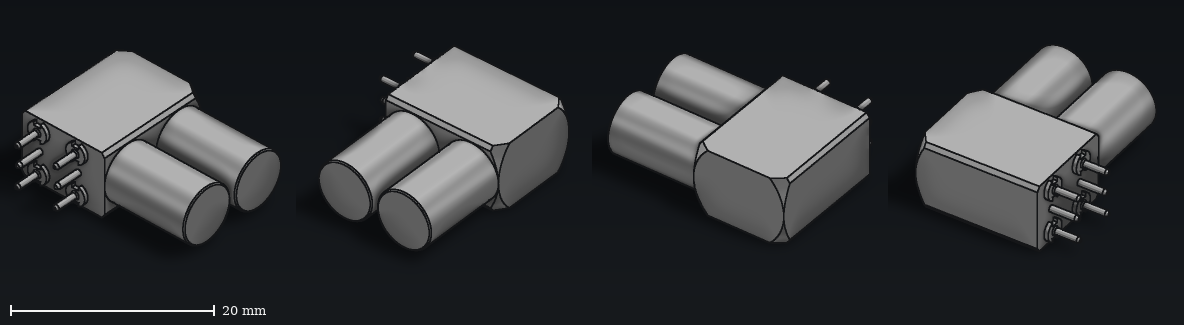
import cadquery as cq
import math

total_length = 21.55
body_length = 11.0
body_width = 14.3
body_height = 8.0

edge_chamfer_x = 0.37
edge_chamfer_z = 0.52
end_cone_radius = body_length / 2
end_cone_depth = 2.15

barrel_diameter = 6.8
barrel_pitch = body_width - barrel_diameter
barrel_chamfer = 0.15

pin_pitch = 5.09
first_pin_x = 2.44
pin_diameter = 0.73
signal_tip_length = 0.28
ground_tip_length = 0.37
signal_tip_diameter = 0.35
ground_tip_diameter = 0.45
signal_pin_length = 3.5
ground_pin_length = 3.32

insulator_diameter = 2.5
insulator_thickness = 0.47
slot_width = 0.86
slot_floor_radius = 0.75
collar_diameter = 1.0
collar_height = 0.17

pin_columns = [first_pin_x, first_pin_x + pin_pitch]
signal_rows = [-pin_pitch / 2, pin_pitch / 2]


def make_body():
    """Block with bevelled long edges and a 45 degree conical chamfer on its +Y end."""
    half_height = body_height / 2
    inner_x = body_length - edge_chamfer_x
    inner_z = half_height - edge_chamfer_z
    block = (
        cq.Workplane("XZ")
        .moveTo(edge_chamfer_x, -half_height)
        .lineTo(inner_x, -half_height)
        .lineTo(body_length, -inner_z)
        .lineTo(body_length, inner_z)
        .lineTo(inner_x, half_height)
        .lineTo(edge_chamfer_x, half_height)
        .lineTo(0, inner_z)
        .lineTo(0, -inner_z)
        .close()
        .extrude(-body_width)
    )
    corner_reach = math.hypot(body_length, body_height)
    cone_base_radius = end_cone_radius + end_cone_depth
    envelope = (
        cq.Workplane("XY")
        .lineTo(corner_reach, 0)
        .lineTo(corner_reach, body_width - end_cone_depth)
        .lineTo(cone_base_radius, body_width - end_cone_depth)
        .lineTo(end_cone_radius, body_width)
        .lineTo(0, body_width)
        .close()
        .revolve(360, (0, 0, 0), (0, 1, 0))
        .translate((body_length / 2, 0, 0))
    )
    return block.intersect(envelope)


def make_barrel(y):
    return (
        cq.Workplane("YZ", origin=(body_length, y, 0))
        .circle(barrel_diameter / 2)
        .extrude(total_length - body_length)
        .faces(">X")
        .chamfer(barrel_chamfer)
    )


def revolve_about_pin(half_profile, x, z):
    """Solid of revolution along Y at (x, z) from a list of (radius, y) points."""
    profile = cq.Workplane("XY").polyline(half_profile).close()
    return profile.revolve(360, (0, 0, 0), (0, 1, 0)).translate((x, 0, z))


def make_pin(x, z, length, tip_diameter, tip_length):
    """Round pin pointing along -Y and ending in a truncated cone."""
    half_profile = [
        (0, 0),
        (pin_diameter / 2, 0),
        (pin_diameter / 2, tip_length - length),
        (tip_diameter / 2, -length),
        (0, -length),
    ]
    return revolve_about_pin(half_profile, x, z)


def make_insulator(x, z):
    """Disc with a slot above and below the pin."""
    slot_depth = insulator_diameter / 2 - slot_floor_radius
    slot_offset = slot_floor_radius + slot_depth / 2
    disc = cq.Workplane("XZ").center(x, z).circle(insulator_diameter / 2).extrude(insulator_thickness)
    slots = (
        cq.Workplane("XZ")
        .center(x, z)
        .pushPoints([(0, -slot_offset), (0, slot_offset)])
        .rect(slot_width, slot_depth)
        .extrude(insulator_thickness)
    )
    return disc.cut(slots)


def make_collar(x, z):
    """Cone tapering from the insulator face down to the pin."""
    half_profile = [
        (0, -insulator_thickness),
        (collar_diameter / 2, -insulator_thickness),
        (pin_diameter / 2, -insulator_thickness - collar_height),
        (0, -insulator_thickness - collar_height),
    ]
    return revolve_about_pin(half_profile, x, z)


result = make_body()

for barrel_y in (barrel_diameter / 2, barrel_diameter / 2 + barrel_pitch):
    result = result.union(make_barrel(barrel_y))

for column_x in pin_columns:
    ground_pin = make_pin(column_x, 0, ground_pin_length, ground_tip_diameter, ground_tip_length)
    result = result.union(ground_pin)
    for row_z in signal_rows:
        signal_pin = make_pin(column_x, row_z, signal_pin_length, signal_tip_diameter, signal_tip_length)
        result = result.union(make_insulator(column_x, row_z))
        result = result.union(make_collar(column_x, row_z))
        result = result.union(signal_pin)